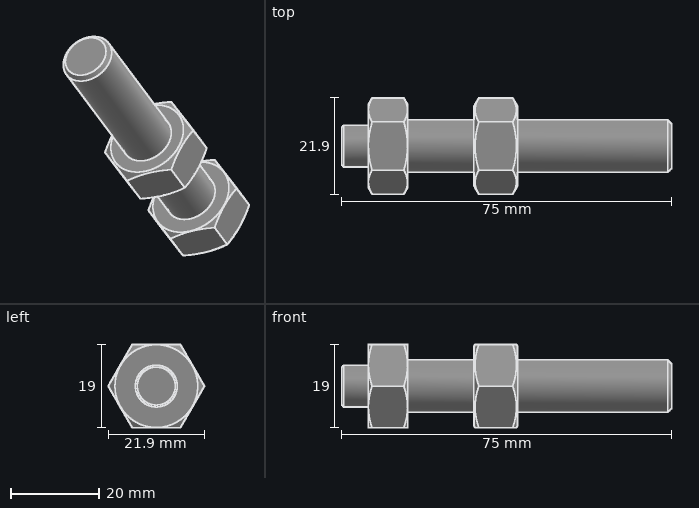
import cadquery as cq
import math

total_length = 75.0
head_start = 6.0
head_thickness = 9.0
nut_start = 30.0
nut_thickness = 10.0

pin_diameter = 9.5
shank_diameter = 12.0
across_flats = 19.0
head_face_diameter = 18.8
nut_face_diameter = 18.0
across_corners = across_flats / math.cos(math.radians(30))

pin_chamfer = 0.45
shank_chamfer = 1.0
corner_chamfer_angle = 30.0


def rod(start, length, diameter):
    """Cylinder on the X axis."""
    return cq.Workplane("YZ", origin=(start, 0, 0)).circle(diameter / 2).extrude(length)


def chamfered_hexagon(start, thickness, face_diameter):
    """Hexagon with flats facing up and down and its corners turned to a cone at both ends."""
    hexagon = (
        cq.Workplane("YZ", origin=(start, 0, 0))
        .polygon(6, across_corners)
        .extrude(thickness)
    )
    radial_cut = (across_corners - face_diameter) / 2
    axial_cut = radial_cut * math.tan(math.radians(corner_chamfer_angle))
    turned_blank = (
        rod(start, thickness, across_corners)
        .faces("<X or >X")
        .edges()
        .chamfer(axial_cut, radial_cut)
    )
    return hexagon.intersect(turned_blank)


pin = rod(0, head_start, pin_diameter).faces("<X").chamfer(pin_chamfer)
shank = rod(head_start, total_length - head_start, shank_diameter).faces(">X").chamfer(shank_chamfer)
head = chamfered_hexagon(head_start, head_thickness, head_face_diameter)
nut = chamfered_hexagon(nut_start, nut_thickness, nut_face_diameter)

result = pin.union(shank).union(head).union(nut)